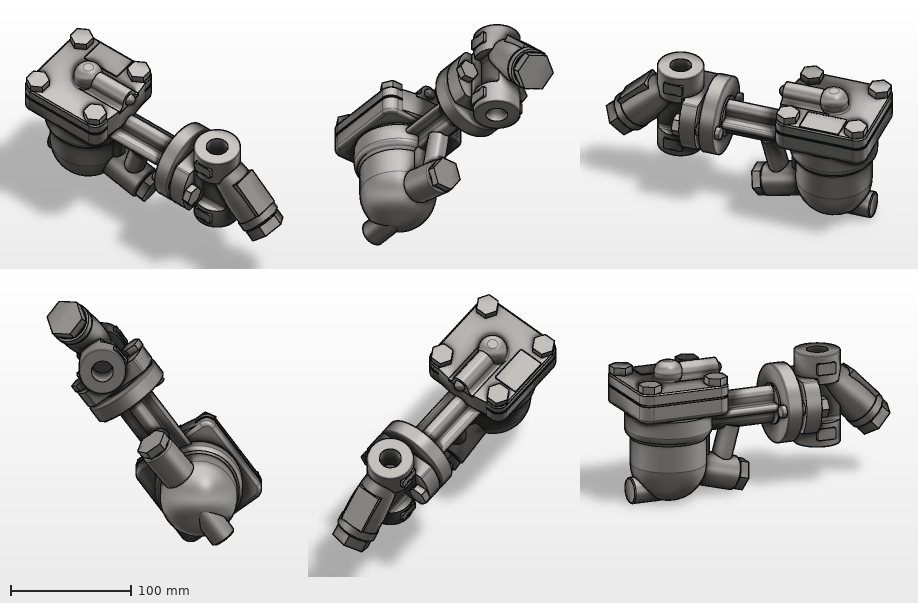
import cadquery as cq
import math


cover_side = 80.0
cover_corner = 9.0
cover_top = 33.4
joint_top = 24.0
joint_bottom = 22.5
joint_inset = 0.5
body_flange_bottom = 7.5
body_flange_round = 3.4
cover_edge = 1.2
drum_radius = 36.5
drum_neck_radius = 35.5
drum_top = 5.3
drum_bottom = -9.0
drum_round = 5.3
shell_radius = 32.0
shell_bottom = -71.5
shell_neck = -16.8

cover_bolt_pitch = 60.0
cover_bolt_flats = 16.8
cover_bolt_height = 6.5
dome_radius = 12.0
dome_shoulder = 39.5
dome_top = 48.5
dome_flat_radius = 4.3
dome_base_round = 1.7
plate_length, plate_width, plate_thickness = 34.5, 22.0, 1.0
plate_corner = 1.2
plate_center_y = 27.4
conduit_radius = 8.2
conduit_top = 46.0
conduit_foot = 4.8
conduit_end = 42.7
nub_diameter = 10.0
side_pad_half_width = 26.0
side_pad_bottom = 9.5

pipe_height, pipe_width = 32.0, 12.5
web_width, web_height = 33.0, 6.2
web_fillet = 1.5
flange_start, flange_end = 94.8, 108.0
flange_radius = 33.4
flange_edge = 0.7
hub_radius = 17.3
hub_height = 1.5

valve_x = 135.4
valve_radius = 19.5
valve_top, valve_bottom = 42.0, -37.5
valve_edge = 0.7
valve_bore = 18.0
bore_depth = 26.5
waist_half_width = 10.3
waist_half_height = 17.0
waist_round = 3.0
wrench_pad_length, wrench_pad_height = 16.3, 10.0
wrench_pad_reach = 20.2
wrench_pad_corner = 1.2
wrench_pad_heights = (30.2, -26.5)
valve_flange_start, valve_flange_end = 111.4, 125.3
valve_flange_half_height = 22.3
valve_flange_round = 2.0
valve_neck_end = 128.2
valve_neck_half_width = 18.7
valve_neck_round = 1.2
stud_diameter = 10.5
stud_start = 90.5
stud_offset = 25.7
stud_edge = 0.7
nut_flats = 15.5
nut_end = 131.5

branch_angle = 45.0
branch_tip_x, branch_tip_z = 188.6, -24.7
branch_root, branch_root_radius = 67.2, 12.5
branch_bulge, branch_bulge_radius = 38.5, 16.3
branch_rim, branch_rim_radius = 18.5, 16.3
collar_radius = 17.0
collar_end = 11.3
cap_length = 9.5
cap_corner_diameter = 33.0
cap_turn = 20.0
neck_radius = 15.0
flat_pad_start, flat_pad_end = 51.5, 18.5
flat_pad_width, flat_pad_offset = 21.0, 16.8

strainer_angle = 15.0
strainer_tip_x, strainer_tip_z = 67.2, -58.0
strainer_radius = 14.5
strainer_length = 52.8
strainer_rim = 8.6
strainer_edge = 1.0
plug_flats = 24.0
plug_length = 7.7
plug_neck_inset = 0.7
riser_diameter = 17.0
riser_setback = 22.8
riser_length = 40.8
column_x, column_radius = 29.8, 7.0
column_bottom = -48.0
drain_radius = 11.0
drain_face_x, drain_z = -35.0, -60.2
drain_edge = 1.0

corner_per_flat = 1 / math.cos(math.radians(30))


def cylinder_x(radius, x_start, x_end, y=0.0, z=0.0):
    """Cylinder along X."""
    plane = cq.Workplane("YZ", origin=(x_start, y, z))
    return plane.circle(radius).extrude(x_end - x_start)


def block(x_start, x_end, half_width, z_bottom, z_top):
    """Box symmetric about Y = 0."""
    size = (x_end - x_start, 2 * half_width, z_top - z_bottom)
    center = ((x_start + x_end) / 2, 0, (z_bottom + z_top) / 2)
    return cq.Workplane("XY").box(*size).translate(center)


def tilted_plane(x, z, angle):
    """Plane whose normal points to +X turned down by the angle, with local x along +Y."""
    turn = math.radians(angle)
    return cq.Plane(origin=(x, 0, z), xDir=(0, 1, 0), normal=(math.cos(turn), 0, -math.sin(turn)))


def rounded_slab(side, z_bottom, z_top):
    """Square slab with rounded corners centred on the body axis."""
    slab = cq.Workplane("XY", origin=(0, 0, z_bottom)).rect(side, side).extrude(z_top - z_bottom)
    return slab.edges("|Z").fillet(cover_corner)


def make_shell():
    """Round body: drum under the flange, narrower shell and hemispherical bottom."""
    sphere_z = shell_bottom + shell_radius
    diagonal = math.sqrt(0.5) * shell_radius
    step = drum_radius - shell_radius
    profile = (
        cq.Workplane("XZ")
        .moveTo(0, body_flange_bottom)
        .lineTo(drum_neck_radius, body_flange_bottom)
        .lineTo(drum_radius, drum_top)
        .lineTo(drum_radius, drum_bottom)
        .tangentArcPoint((drum_radius - step * 0.6, drum_bottom - drum_round), relative=False)
        .lineTo(shell_radius, shell_neck)
        .lineTo(shell_radius, sphere_z)
        .threePointArc((diagonal, sphere_z - diagonal), (0, shell_bottom))
        .close()
    )
    return profile.revolve(360, (0, 0, 0), (0, 1, 0))


def make_cover_stack():
    """Body flange, recessed gasket line and cover."""
    body_flange = rounded_slab(cover_side, body_flange_bottom, joint_bottom)
    body_flange = body_flange.faces("<Z").edges().fillet(body_flange_round)
    joint = rounded_slab(cover_side - 2 * joint_inset, joint_bottom, joint_top)
    cover = rounded_slab(cover_side, joint_top, cover_top)
    cover = cover.faces(">Z").edges().chamfer(cover_edge)
    return body_flange.union(joint).union(cover)


def make_cover_bolts():
    """Four hexagon heads with corners toward +Y and -Y."""
    plane = cq.Plane(origin=(0, 0, cover_top), xDir=(0, 1, 0), normal=(0, 0, 1))
    return (
        cq.Workplane(plane)
        .rect(cover_bolt_pitch, cover_bolt_pitch, forConstruction=True)
        .vertices()
        .polygon(6, cover_bolt_flats * corner_per_flat)
        .extrude(cover_bolt_height)
    )


def make_dome():
    """Domed boss with a small flat on top and a flared base."""
    profile = (
        cq.Workplane("XZ")
        .moveTo(0, cover_top)
        .lineTo(dome_radius + dome_base_round, cover_top)
        .radiusArc((dome_radius, cover_top + dome_base_round), dome_base_round)
        .lineTo(dome_radius, dome_shoulder)
        .tangentArcPoint((dome_flat_radius, dome_top), relative=False)
        .lineTo(0, dome_top)
        .close()
    )
    return profile.revolve(360, (0, 0, 0), (0, 1, 0))


def make_conduit():
    """Round-topped ridge from the dome to the edge of the cover, with flared foot and end nub."""
    crown_z = conduit_top - conduit_radius
    foot_z = cover_top + 0.2
    foot_reach = conduit_radius + conduit_foot
    profile = (
        cq.Workplane("YZ")
        .moveTo(-foot_reach, cover_top - 2.5)
        .lineTo(-foot_reach, foot_z)
        .radiusArc((-conduit_radius, crown_z), -conduit_foot)
        .threePointArc((0, conduit_top), (conduit_radius, crown_z))
        .radiusArc((foot_reach, foot_z), -conduit_foot)
        .lineTo(foot_reach, cover_top - 2.5)
        .close()
    )
    ridge = profile.extrude(conduit_end)
    nub = cq.Workplane("XY").sphere(nub_diameter / 2).translate((conduit_end, 0, crown_z))
    return ridge.union(nub)


def make_side_pad():
    """Bulge on the +X side of the cover and body flange, below the conduit."""
    inner_x = cover_side / 2 - 2.5
    edge_x = cover_side / 2
    bulge = (
        cq.Workplane("XY", origin=(0, 0, side_pad_bottom))
        .moveTo(inner_x, -side_pad_half_width)
        .lineTo(edge_x, -side_pad_half_width)
        .threePointArc((conduit_end, 0), (edge_x, side_pad_half_width))
        .lineTo(inner_x, side_pad_half_width)
        .close()
        .extrude(cover_top - side_pad_bottom)
    )
    return bulge.faces("<Z").edges(">X").chamfer(conduit_end - edge_x)


def make_nameplate():
    """Thin rectangular plate on the cover."""
    plate = cq.Workplane("XY", origin=(0, plate_center_y, cover_top))
    return plate.rect(plate_length, plate_width).extrude(plate_thickness).edges("|Z").fillet(plate_corner)


def make_pipe():
    """Pipe of cross-shaped section: an upright slot joined to a flat web."""
    length = flange_start
    upright = cq.Workplane("YZ").slot2D(pipe_height, pipe_width, 90).extrude(length)
    web = cq.Workplane("YZ").slot2D(web_width, web_height).extrude(length)
    half_width = pipe_width / 2
    corners = cq.selectors.BoxSelector((-2.5, -half_width - 0.2, -4.8), (length + 2.5, half_width + 0.2, 4.8), True)
    return upright.union(web).edges("|X").edges(corners).fillet(web_fillet)


def make_trap_flange():
    """Round flange with a low hub that reaches the valve flange."""
    disc = cylinder_x(flange_radius, flange_start, flange_end).edges().fillet(flange_edge)
    hub = cylinder_x(hub_radius, flange_start - hub_height, valve_flange_start)
    return disc.union(hub)


def make_valve():
    """Upright two-port valve with a flattened waist, wrench pads and a truncated round flange."""
    height = valve_top - valve_bottom
    barrel = cq.Workplane("XY", origin=(valve_x, 0, valve_bottom)).circle(valve_radius).extrude(height)
    barrel = barrel.edges().fillet(valve_edge)
    for side in (-1, 1):
        depth = valve_radius - waist_half_width + 2.5
        relief = (
            cq.Workplane("XY")
            .box(2 * valve_radius + 4.8, depth, 2 * waist_half_height)
            .edges("|X")
            .fillet(waist_round)
            .translate((valve_x, side * (waist_half_width + depth / 2), 0))
        )
        barrel = barrel.cut(relief)
    for pad_z in wrench_pad_heights:
        pad = (
            cq.Workplane("XZ")
            .rect(wrench_pad_length, wrench_pad_height)
            .extrude(wrench_pad_reach, both=True)
            .edges("|Y")
            .fillet(wrench_pad_corner)
            .translate((valve_x, 0, pad_z))
        )
        barrel = barrel.union(pad)
    flange = cylinder_x(flange_radius, valve_flange_start, valve_flange_end)
    slab = block(
        valve_flange_start, valve_flange_end, flange_radius, -valve_flange_half_height, valve_flange_half_height
    )
    flange = flange.intersect(slab).edges("|X").fillet(valve_flange_round)
    neck = block(
        valve_flange_start, valve_neck_end, valve_neck_half_width, -valve_flange_half_height, valve_flange_half_height
    )
    neck = neck.edges(">X").fillet(valve_neck_round)
    return barrel.union(flange).union(neck)


def make_port_bores():
    """Blind bores of the upper and lower ports."""
    upper = cq.Workplane("XY", origin=(valve_x, 0, valve_top)).circle(valve_bore / 2).extrude(-bore_depth)
    lower = cq.Workplane("XY", origin=(valve_x, 0, valve_bottom)).circle(valve_bore / 2).extrude(bore_depth)
    return upper.union(lower)


def make_flange_bolts():
    """Two studs through the flanges with hexagon nuts on the valve side."""
    bolts = cq.Workplane("XY")
    for side in (-1, 1):
        y = side * stud_offset
        stud = cylinder_x(stud_diameter / 2, stud_start, nut_end, y).faces("<X").edges().fillet(stud_edge)
        nut = cq.Workplane("YZ", origin=(valve_flange_end, y, 0)).polygon(6, nut_flats * corner_per_flat)
        bolts = bolts.union(stud).union(nut.extrude(nut_end - valve_flange_end))
    return bolts


def make_branch():
    """Bulged branch with collar, hexagon cap and a flat pad on its upper side."""
    tip = tilted_plane(branch_tip_x, branch_tip_z, branch_angle)
    axis_plane = cq.Plane(origin=tip.origin, xDir=tip.zDir, normal=(0, -1, 0))
    profile = (
        cq.Workplane(axis_plane)
        .moveTo(-branch_root, 0)
        .lineTo(-branch_root, branch_root_radius)
        .threePointArc((-branch_bulge, branch_bulge_radius), (-branch_rim, branch_rim_radius))
        .lineTo(-branch_rim, collar_radius)
        .lineTo(-collar_end, collar_radius)
        .lineTo(-collar_end, neck_radius)
        .lineTo(-cap_length, neck_radius)
        .lineTo(-cap_length, 0)
        .close()
    )
    branch = profile.revolve(360, (0, 0, 0), (1, 0, 0))
    cap = cq.Workplane(tip).transformed(rotate=(0, 0, cap_turn)).polygon(6, cap_corner_diameter).extrude(-cap_length)
    pad_length = flat_pad_start - flat_pad_end
    pad = (
        cq.Workplane(axis_plane)
        .center(-(flat_pad_start + flat_pad_end) / 2, flat_pad_offset / 2)
        .rect(pad_length, flat_pad_offset)
        .extrude(flat_pad_width / 2, both=True)
    )
    return branch.union(cap).union(pad)


def make_strainer():
    """Inclined strainer barrel with hexagon plug and a riser square to it up to the pipe."""
    tip = tilted_plane(strainer_tip_x, strainer_tip_z, strainer_angle)
    barrel = cq.Workplane(tip).workplane(offset=-strainer_rim).circle(strainer_radius)
    barrel = barrel.extrude(strainer_rim - strainer_length).faces(">X").edges().fillet(strainer_edge)
    plug = cq.Workplane(tip).polygon(6, plug_flats * corner_per_flat).extrude(-plug_length)
    neck = cq.Workplane(tip).circle(plug_flats / 2 - plug_neck_inset).extrude(-strainer_rim)
    turn = math.radians(strainer_angle)
    start = (
        strainer_tip_x - riser_setback * math.cos(turn),
        0,
        strainer_tip_z + riser_setback * math.sin(turn),
    )
    riser_plane = cq.Plane(origin=start, xDir=(0, 1, 0), normal=(math.sin(turn), 0, math.cos(turn)))
    riser = cq.Workplane(riser_plane).circle(riser_diameter / 2).extrude(riser_length)
    return barrel.union(plug).union(neck).union(riser)


def make_column():
    """Upright half-round rib on the +X side of the shell."""
    height = -column_bottom
    plane = cq.Workplane("XY", origin=(column_x, 0, column_bottom))
    round_part = plane.circle(column_radius).extrude(height)
    return round_part.union(block(0, column_x, column_radius, column_bottom, 0))


def make_drain():
    """Round boss on the -X side of the bottom."""
    return cylinder_x(drain_radius, drain_face_x, 0, 0, drain_z).faces("<X").edges().chamfer(drain_edge)


parts = [
    make_cover_stack(),
    make_cover_bolts(),
    make_dome(),
    make_conduit(),
    make_side_pad(),
    make_nameplate(),
    make_pipe(),
    make_trap_flange(),
    make_valve(),
    make_flange_bolts(),
    make_branch(),
    make_strainer(),
    make_column(),
    make_drain(),
]
result = make_shell()
for piece in parts:
    result = result.union(piece)
result = result.cut(make_port_bores())